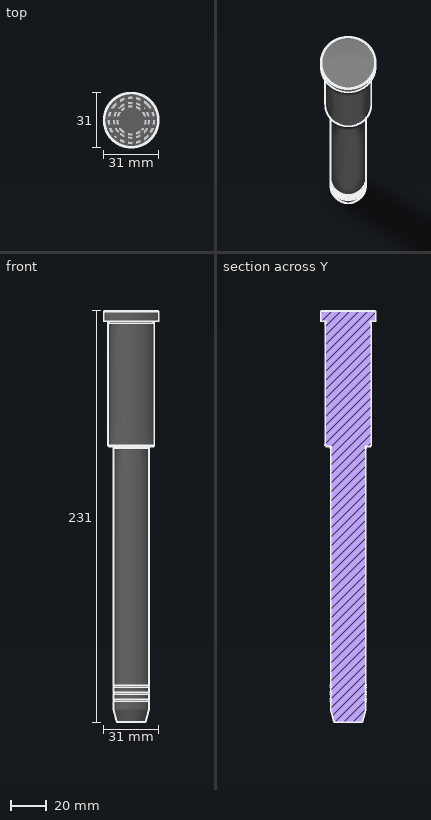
import cadquery as cq

total_length = 231.0
head_diameter = 31.0
head_height = 6.0
sleeve_diameter = 26.0
sleeve_bottom = 154.8
pin_diameter = 20.0

tip_diameter = 16.2
taper_height = 7.5
tip_edge_break = 0.5

head_chamfer = 0.5
sleeve_chamfer = 0.7

groove_radius = 0.5
lowest_groove_center = 12.5
groove_pitch = 4.0
groove_count = 3


def cylinder(diameter, bottom, top):
    return cq.Workplane("XY").workplane(offset=bottom).circle(diameter / 2).extrude(top - bottom)


def groove(diameter, center_height):
    """Ring of round section that cuts a half-round groove into a shaft."""
    ring = cq.Solid.makeTorus(diameter / 2, groove_radius)
    return cq.Workplane("XY").add(ring.translate(cq.Vector(0, 0, center_height)))


head_bottom = total_length - head_height
head = cylinder(head_diameter, head_bottom, total_length).faces(">Z").edges().chamfer(head_chamfer)
sleeve = cylinder(sleeve_diameter, sleeve_bottom, head_bottom).faces("<Z").edges().chamfer(sleeve_chamfer)
pin = cylinder(pin_diameter, taper_height, sleeve_bottom)

tip = (
    cq.Workplane("XY")
    .circle(tip_diameter / 2)
    .workplane(offset=taper_height)
    .circle(pin_diameter / 2)
    .loft(ruled=True)
    .faces("<Z")
    .edges()
    .chamfer(tip_edge_break)
)
result = head.union(sleeve).union(pin).union(tip)

result = result.cut(groove(sleeve_diameter, head_bottom - groove_radius))
result = result.cut(groove(pin_diameter, sleeve_bottom - groove_radius))

for index in range(groove_count):
    center = lowest_groove_center + index * groove_pitch
    result = result.cut(groove(pin_diameter, center))